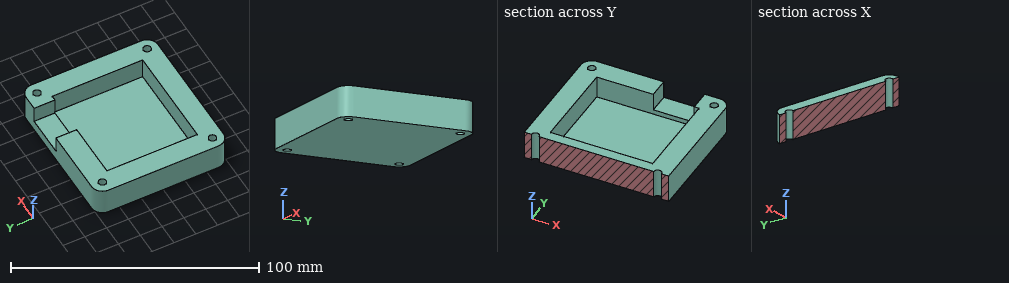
import cadquery as cq

length = 65.25
width = 60.5
height = 13.0
corner_radius = 5.0

hole_diameter = 3.4

wall = 9.5
pocket_depth = 10.0

notch_left = 2.4
notch_width = 18.4
notch_depth = 7.8


def make_block():
    block = cq.Workplane("XY").box(length, width, height, centered=(True, True, False))
    return block.edges("|Z").fillet(corner_radius)


def make_holes():
    return (
        cq.Workplane("XY")
        .rect(length - 2 * corner_radius, width - 2 * corner_radius, forConstruction=True)
        .vertices()
        .circle(hole_diameter / 2)
        .extrude(height)
    )


def make_pocket():
    return (
        cq.Workplane("XY", origin=(0, 0, height - pocket_depth))
        .rect(length - 2 * wall, width - 2 * wall)
        .extrude(pocket_depth)
    )


def make_notch():
    corner = (notch_left, width / 2 - wall, height - notch_depth)
    return cq.Workplane("XY", origin=corner).box(notch_width, wall, notch_depth, centered=False)


result = make_block().cut(make_holes()).cut(make_pocket()).cut(make_notch())